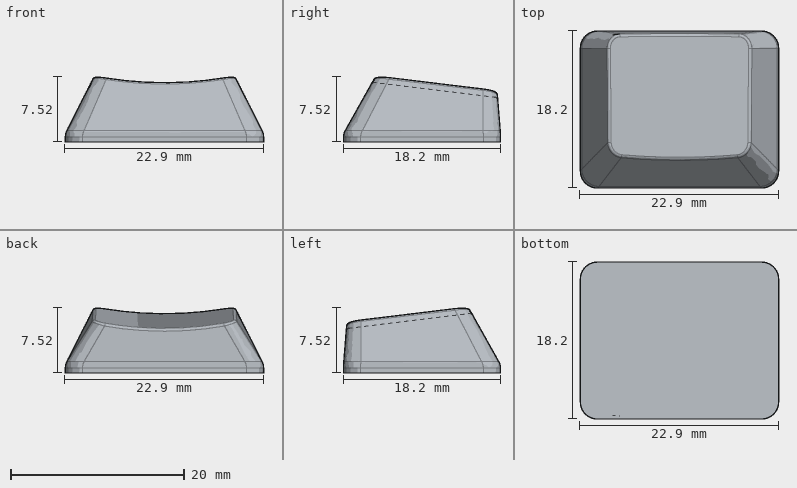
import cadquery as cq
import math

width = 22.92
depth = 18.15
base_corner_radius = 2.0

blend_start = 0.6
blend_height = 0.73
blend_steps = 4
side_lean = 0.49
front_lean = 0.56
back_lean = 0.08
upper_corner_radius = 1.6
wall_rise = 7.1

dish_radius = 40.1
dish_tilt = 7.0
dish_front_y = -5.5
dish_front_height = 6.88
dish_length = 45.85
top_edge_radius = 0.37


def rounded_wire(x_size, y_size, radius, location):
    sketch = cq.Sketch().rect(x_size, y_size).vertices().fillet(radius)
    return sketch.reset().faces().val().outerWire().moved(location)


def level_section(z):
    """Outer wall outline at height z, on the rim or in the curved blend above it."""
    above_rim = max(z - blend_start, 0)
    rise = above_rim**2 / (2 * blend_height)
    y_front = -depth / 2 + front_lean * rise
    y_back = depth / 2 - back_lean * rise
    location = cq.Location(cq.Vector(0, (y_front + y_back) / 2, z))
    return rounded_wire(width - 2 * side_lean * rise, y_back - y_front, base_corner_radius, location)


def tilted_section():
    """Outline on a plane parallel to the dish, where the leaning walls end."""
    slope = math.tan(math.radians(dish_tilt))
    bend_height = blend_start + blend_height / 2
    y_front = -depth / 2 + front_lean * wall_rise
    y_back = (depth / 2 - back_lean * (wall_rise + slope * y_front)) / (1 - back_lean * slope)
    y_length = y_back - y_front
    z_center = bend_height + wall_rise - slope * y_length / 2

    center = cq.Vector(0, (y_front + y_back) / 2, z_center)
    location = cq.Location(center, cq.Vector(1, 0, 0), -dish_tilt)
    slanted_length = y_length / math.cos(math.radians(dish_tilt))
    return rounded_wire(width - 2 * side_lean * wall_rise, slanted_length, upper_corner_radius, location)


def loft_through(sections, ruled):
    return cq.Workplane(obj=cq.Solid.makeLoft(sections, ruled))


def make_blank():
    """Upright rim, curved blend and leaning walls, stacked."""
    step = blend_height / blend_steps
    blend_sections = [level_section(blend_start + i * step) for i in range(blend_steps + 1)]

    rim = loft_through([level_section(0), blend_sections[0]], ruled=True)
    blend = loft_through(blend_sections, ruled=False)
    walls = loft_through([blend_sections[-1], tilted_section()], ruled=True)
    return rim.union(blend).union(walls)


def make_dish_cutter():
    """Cylinder whose lowest line passes through the front of the dish."""
    tilt = math.radians(dish_tilt)
    axis = cq.Vector(0, math.cos(tilt), -math.sin(tilt))
    upward = cq.Vector(0, math.sin(tilt), math.cos(tilt))
    front_point = cq.Vector(0, dish_front_y, dish_front_height)
    start = front_point + upward * dish_radius - axis * (dish_length / 2)
    return cq.Workplane(obj=cq.Solid.makeCylinder(dish_radius, dish_length, start, axis))


keycap = make_blank().cut(make_dish_cutter())
dish_edges = keycap.faces("%CYLINDER").faces(">Z").edges()
result = dish_edges.fillet(top_edge_radius)